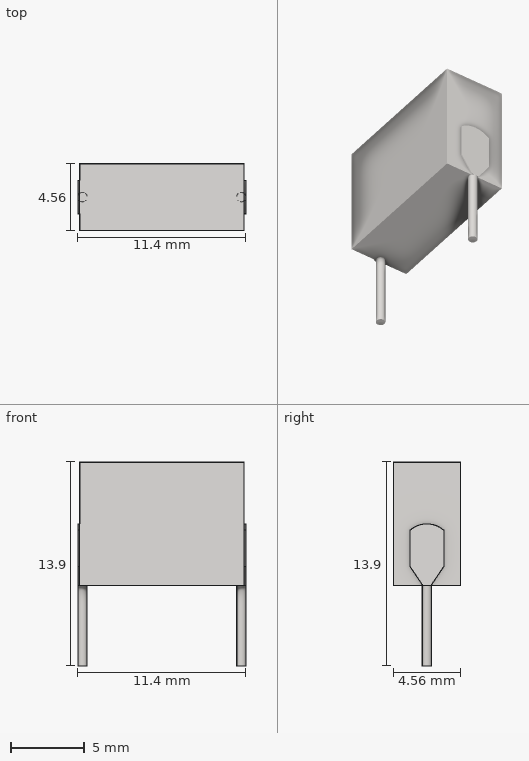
import cadquery as cq

total_width = 11.43
body_depth = 4.56
total_height = 13.87
pin_length = 5.48
body_height = total_height - pin_length

pad_thickness = 0.12
pad_width = 2.29
pad_foot_width = 0.55
pad_taper_height = 1.29
pad_shoulder_height = 3.76
pad_crown_height = 4.19
body_width = total_width - 2 * pad_thickness

pin_diameter = 0.64
pin_offset = (total_width - pin_diameter) / 2


def make_body():
    """Rectangular block standing above the pins."""
    block = cq.Workplane("XY").box(body_width, body_depth, body_height, centered=(True, True, False))
    return block.translate((0, 0, pin_length))


def make_pads():
    """Arched pads with tapered feet, as one plate profile run through the body to both ends."""
    half_width = pad_width / 2
    half_foot = pad_foot_width / 2
    return (
        cq.Workplane("YZ", origin=(0, 0, pin_length))
        .moveTo(-half_foot, 0)
        .lineTo(half_foot, 0)
        .lineTo(half_width, pad_taper_height)
        .lineTo(half_width, pad_shoulder_height)
        .threePointArc((0, pad_crown_height), (-half_width, pad_shoulder_height))
        .lineTo(-half_width, pad_taper_height)
        .close()
        .extrude(total_width / 2, both=True)
    )


def make_pin(side):
    """Round pin hanging below the body at one end."""
    pin = cq.Workplane("XY").circle(pin_diameter / 2).extrude(pin_length)
    return pin.translate((side * pin_offset, 0, 0))


result = make_body().union(make_pads())
for side in (-1, 1):
    result = result.union(make_pin(side))